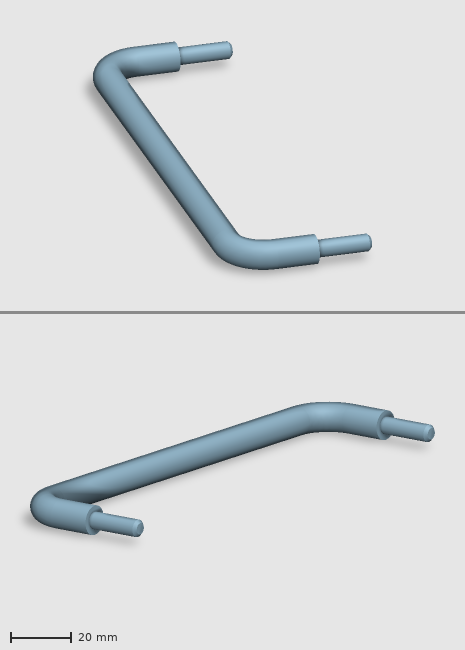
import cadquery as cq

overall_length = 170.0
overall_depth = 51.0
rod_diameter = 10.0

bend_radius = 12.5
stud_length = 19.0
stud_diameter = 6.0
stud_chamfer = 1.0

rod_radius = rod_diameter / 2
leg_x = overall_length / 2 - rod_radius
leg_end_y = overall_depth - rod_radius - stud_length
grip_half_length = leg_x - bend_radius


def bent_rod():
    """Round rod swept along the grip, its two bends and its two legs."""
    path = (
        cq.Workplane("XY")
        .moveTo(-leg_x, leg_end_y)
        .lineTo(-leg_x, bend_radius)
        .radiusArc((-grip_half_length, 0), -bend_radius)
        .lineTo(grip_half_length, 0)
        .radiusArc((leg_x, bend_radius), -bend_radius)
        .lineTo(leg_x, leg_end_y)
    )
    return (
        cq.Workplane("XZ", origin=(-leg_x, leg_end_y, 0))
        .circle(rod_radius)
        .sweep(path)
    )


def stud(x):
    """Stud with a chamfered tip, standing on the end of the leg at x."""
    return (
        cq.Workplane("XZ", origin=(x, leg_end_y, 0))
        .circle(stud_diameter / 2)
        .extrude(-stud_length)
        .faces(">Y")
        .chamfer(stud_chamfer)
    )


result = bent_rod()
for side in (-1, 1):
    result = result.union(stud(side * leg_x))